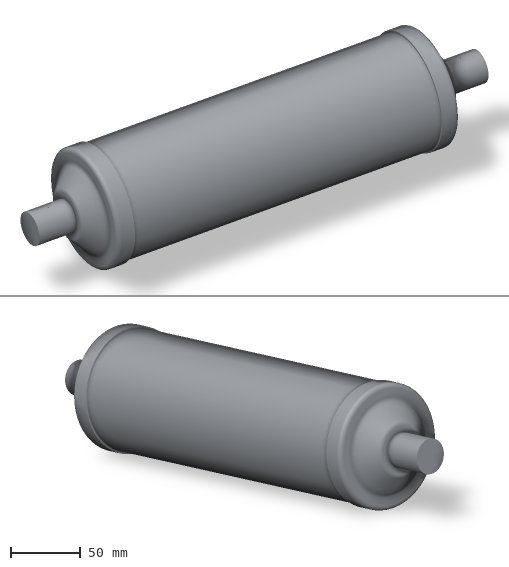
import cadquery as cq

total_length = 378.0
stub_length = 31.0
cone_height = 14.0
cap_length = 14.7

body_diameter = 90.0
cap_diameter = 93.0
cone_base_diameter = 70.5
cone_tip_diameter = 39.0
stub_diameter = 26.0

edge_radius = 3.5

pin_hole_diameter = 1.0
pin_hole_depth = 2.0
pin_hole_from_end = stub_length / 2

half_length = total_length / 2
cone_tip_y = half_length - stub_length
cap_face_y = cone_tip_y - cone_height
cap_inner_y = cap_face_y - cap_length


def make_body():
    """Plain solid cylinder between the two end caps."""
    return (
        cq.Workplane("XZ")
        .circle(body_diameter / 2)
        .extrude(cap_inner_y, both=True)
    )


def make_end():
    """Cap, cone and stub at the +Y end, revolved about the Y axis."""
    cap_and_cone = (
        cq.Workplane("XY")
        .moveTo(0, cap_inner_y)
        .lineTo(cap_diameter / 2, cap_inner_y)
        .lineTo(cap_diameter / 2, cap_face_y)
        .lineTo(cone_base_diameter / 2, cap_face_y)
        .lineTo(cone_tip_diameter / 2, cone_tip_y)
        .lineTo(0, cone_tip_y)
        .close()
        .revolve(360, (0, 0, 0), (0, 1, 0))
    )
    rounded = cap_and_cone.edges("%CIRCLE and (not <Y)").fillet(edge_radius)
    stub = (
        cq.Workplane("XZ", origin=(0, cone_tip_y, 0))
        .circle(stub_diameter / 2)
        .extrude(-stub_length)
    )
    pin_hole = (
        cq.Workplane("XY", origin=(0, half_length - pin_hole_from_end, stub_diameter / 2))
        .circle(pin_hole_diameter / 2)
        .extrude(-pin_hole_depth)
    )
    return rounded.union(stub).cut(pin_hole)


end = make_end()
result = make_body().union(end).union(end.mirror("XZ"))